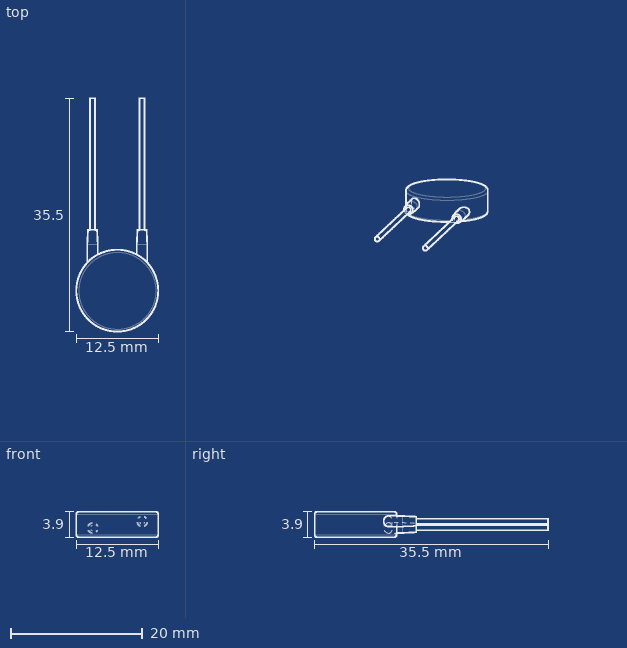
import cadquery as cq

overall_length = 35.5
disc_diameter = 12.5
disc_height = 3.9
disc_edge_radius = 0.4
disc_radius = disc_diameter / 2

lead_offset_x = 3.75
lead_offset_z = 0.5
lead_end_y = overall_length - disc_radius
wire_radius = 0.4

sleeve_radius = 0.8
sleeve_tip_radius = 0.7
taper_start_y = 7.05
sleeve_end_y = 9.23


def make_disc():
    """Flat round body with rounded top and bottom edges."""
    disc = cq.Workplane("XY").cylinder(disc_height, disc_radius)
    return disc.faces("|Z").edges().fillet(disc_edge_radius)


def make_lead(x, z):
    """Wire and sleeve revolved about a Y-parallel axis, rooted inside the disc."""
    profile = (
        cq.Workplane("XY")
        .lineTo(sleeve_radius, 0)
        .lineTo(sleeve_radius, taper_start_y)
        .lineTo(sleeve_tip_radius, sleeve_end_y)
        .lineTo(wire_radius, sleeve_end_y)
        .lineTo(wire_radius, lead_end_y)
        .lineTo(0, lead_end_y)
        .close()
    )
    lead = profile.revolve(360, (0, 0, 0), (0, 1, 0))
    return lead.translate((x, 0, z))


result = make_disc()
for side in (-1, 1):
    result = result.union(make_lead(side * lead_offset_x, side * lead_offset_z))